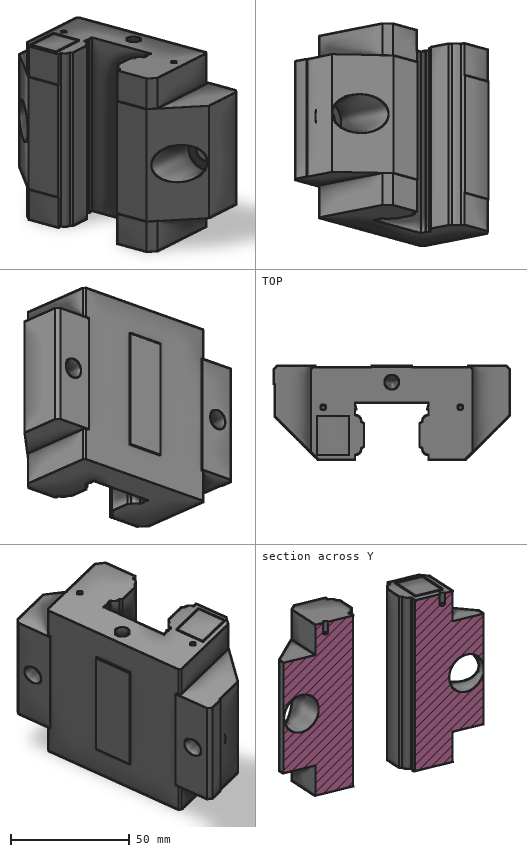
import cadquery as cq
import math

body_width = 100.0
body_height = 40.0
total_length = 79.0
body_length = 51.2
half_width = body_width / 2
top_y = body_height / 2
bottom_y = -body_height / 2
cap_length = (total_length - body_length) / 2

foot_half_width = 31.0
top_chamfer = 1.6
relief_depth = 0.5
relief_y = 12.2

cap_half_width = 34.2
cap_top_y = 19.35
cap_bottom_y = -19.7
cap_top_chamfer = 0.9
cap_foot_chamfer = cap_half_width - foot_half_width

channel_half_width = 15.5
channel_floor_y = 4.2
land_half_width = 11.7
rail_center_y = -9.35
land_half_height = 4.9
shoulder_half_width = 12.8
shoulder_half_height = 5.7
race_half_height = 8.5
race_bulge_half_width = 13.5
race_bulge_half_height = 7.5
lip_top_y = 3.4
lip_bottom_y = 1.4
lip_height = 0.6

groove_inner_x = 8.6
groove_outer_x = 32.3

mount_hole_x = 41.0
mount_hole_diameter = 8.6
counterbore_diameter = 16.9
counterbore_floor_y = 7.8

drill_point_angle = 118.0
lube_hole_y = 13.0
lube_hole_diameter = 6.2
lube_hole_depth = 8.0
screw_hole_x = 29.0
screw_hole_y = 2.4
screw_hole_diameter = 2.3
screw_hole_depth = 5.0

panel_center_x = -24.8
panel_center_y = -9.6
panel_width = 13.5
panel_height = 16.4
panel_depth = 0.3


def extrude_centered(sketch, length):
    return sketch.extrude(length / 2, both=True)


def make_body():
    """Flanged middle section with 45 degree lower flanks and one relieved side."""
    relieved_x = half_width - relief_depth
    outline = (
        cq.Workplane("XY")
        .moveTo(-foot_half_width, bottom_y)
        .lineTo(foot_half_width, bottom_y)
        .lineTo(half_width, bottom_y + half_width - foot_half_width)
        .lineTo(half_width, top_y - top_chamfer)
        .lineTo(half_width - top_chamfer, top_y)
        .lineTo(-half_width + top_chamfer, top_y)
        .lineTo(-half_width, top_y - top_chamfer)
        .lineTo(-half_width, relief_y)
        .lineTo(-relieved_x, relief_y)
        .lineTo(-relieved_x, bottom_y + relieved_x - foot_half_width)
        .close()
    )
    body = extrude_centered(outline, body_length)
    groove_width = groove_outer_x - groove_inner_x
    groove_depth = top_y - cap_top_y
    for side in (-1, 1):
        groove_x = side * (groove_inner_x + groove_outer_x) / 2
        groove = cq.Workplane("XY").box(groove_width, 2 * groove_depth, body_length)
        body = body.cut(groove.translate((groove_x, top_y, 0)))
    return body


def make_end_caps():
    """Bar over the full length whose ends project as the two end caps."""
    cap_height = cap_top_y - cap_bottom_y
    bar = cq.Workplane("XY").box(2 * cap_half_width, cap_height, total_length)
    bar = bar.translate((0, (cap_top_y + cap_bottom_y) / 2, 0))
    bar = bar.edges("|Z and >Y").chamfer(cap_top_chamfer)
    return bar.edges("|Z and <Y").chamfer(cap_foot_chamfer)


def make_channel():
    """Rail channel: a plain slot less the raceway bulge and seal lip on each wall."""
    slot_height = channel_floor_y - bottom_y
    slot = cq.Workplane("XY").box(2 * channel_half_width, slot_height, total_length)
    slot = slot.translate((0, (channel_floor_y + bottom_y) / 2, 0))
    bulge_sketch = (
        cq.Workplane("XY")
        .moveTo(channel_half_width, rail_center_y + race_half_height)
        .threePointArc(
            (race_bulge_half_width, rail_center_y + race_bulge_half_height),
            (shoulder_half_width, rail_center_y + shoulder_half_height),
        )
        .lineTo(land_half_width, rail_center_y + land_half_height)
        .lineTo(land_half_width, rail_center_y - land_half_height)
        .lineTo(shoulder_half_width, rail_center_y - shoulder_half_height)
        .threePointArc(
            (race_bulge_half_width, rail_center_y - race_bulge_half_height),
            (channel_half_width, rail_center_y - race_half_height),
        )
        .close()
    )
    lip_sketch = (
        cq.Workplane("XY")
        .moveTo(channel_half_width, lip_top_y)
        .lineTo(channel_half_width - lip_height, lip_bottom_y)
        .lineTo(channel_half_width, lip_bottom_y)
        .close()
    )
    for sketch in (bulge_sketch, lip_sketch):
        rib = extrude_centered(sketch, total_length)
        slot = slot.cut(rib).cut(rib.mirror("YZ"))
    return slot


def make_mounting_hole(x):
    """Through hole along Y, counterbored from the lower side."""
    bore = cq.Workplane("XZ", origin=(x, top_y, 0)).circle(mount_hole_diameter / 2).extrude(body_height)
    counterbore = (
        cq.Workplane("XZ", origin=(x, counterbore_floor_y, 0))
        .circle(counterbore_diameter / 2)
        .extrude(counterbore_floor_y - bottom_y)
    )
    return bore.union(counterbore)


def make_drilled_hole(x, y, diameter, depth):
    """Blind hole down from the top end face, ending in a conical drill point."""
    radius = diameter / 2
    point_depth = radius / math.tan(math.radians(drill_point_angle / 2))
    return (
        cq.Workplane("XZ")
        .polyline([(0, 0), (radius, 0), (radius, -depth), (0, -depth - point_depth)])
        .close()
        .revolve(360, (0, 0), (0, 1))
        .translate((x, y, total_length / 2))
    )


def make_label_panel():
    panel = cq.Workplane("XY").box(panel_width, panel_height, 2 * panel_depth)
    return panel.translate((panel_center_x, panel_center_y, total_length / 2))


result = make_body().union(make_end_caps()).cut(make_channel())
for side in (-1, 1):
    result = result.cut(make_mounting_hole(side * mount_hole_x))
    screw_hole = make_drilled_hole(side * screw_hole_x, screw_hole_y, screw_hole_diameter, screw_hole_depth)
    result = result.cut(screw_hole)
result = result.cut(make_drilled_hole(0, lube_hole_y, lube_hole_diameter, lube_hole_depth))
result = result.cut(make_label_panel())